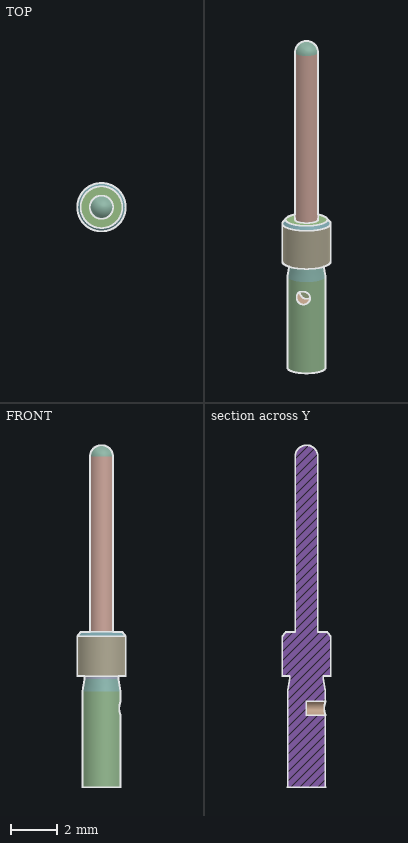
import cadquery as cq

total_length = 14.8
barrel_top = 4.15
neck_bottom = 4.68
collar_bottom = 4.81
collar_top = 6.72

pin_diameter = 1.0
collar_diameter = 2.1
neck_diameter = 1.48
barrel_diameter = 1.66

bevel_width = 0.15
bevel_height = 0.18

hole_diameter = 0.59
hole_height = 3.42

pin_radius = pin_diameter / 2
collar_radius = collar_diameter / 2
neck_radius = neck_diameter / 2
barrel_radius = barrel_diameter / 2


def turned_body():
    """Revolve the half outline: barrel, taper, neck, collar and round-tipped pin."""
    tip_start = total_length - pin_radius
    outline = (
        cq.Workplane("XZ")
        .lineTo(barrel_radius, 0)
        .lineTo(barrel_radius, barrel_top)
        .lineTo(neck_radius, neck_bottom)
        .lineTo(neck_radius, collar_bottom)
        .lineTo(collar_radius, collar_bottom)
        .lineTo(collar_radius, collar_top - bevel_height)
        .lineTo(collar_radius - bevel_width, collar_top)
        .lineTo(pin_radius, collar_top)
        .lineTo(pin_radius, tip_start)
        .radiusArc((0, total_length), -pin_radius)
        .close()
    )
    return outline.revolve(360, (0, 0, 0), (0, 1, 0))


def cross_hole():
    """Radial hole from the barrel axis out through the +X side."""
    return (
        cq.Workplane("YZ")
        .center(0, hole_height)
        .circle(hole_diameter / 2)
        .extrude(collar_radius)
    )


result = turned_body().cut(cross_hole())